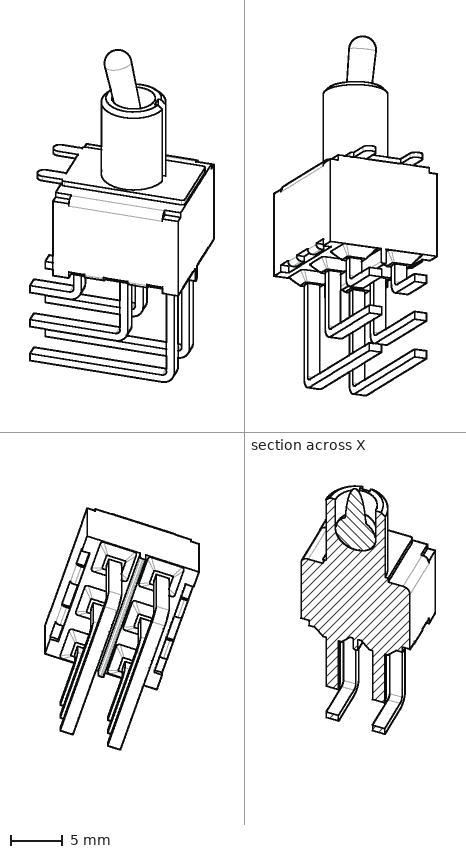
import cadquery as cq
import math


block_length = 12.7
block_width = 11.43
block_height = 8.85
edge_length = 9.5
edge_depth = 0.82
edge_radius = 0.75
notch_height = 0.5
recess_height = 0.7

tab_width = 1.92
tab_offset = 2.2
tab_bottom = 0.17
tab_radius = 0.45

plate_length = 12.45
plate_width = 6.85
plate_thickness = 0.5
plate_corner_radius = 0.27
arm_width = 1.3
arm_tip = 8.93
arm_offset = plate_width / 2 - plate_corner_radius - arm_width / 2

bushing_diameter = 6.25
bushing_height = 8.48
bushing_chamfer = 0.45
bore_diameter = 4.2
keyway_width = 1.03
keyway_floor = 2.35

terminal_pitch_x = 4.7
terminal_pitch_y = 4.85
terminal_thickness = 0.8
terminal_width = 1.3
terminal_end = 9.55
terminal_drop = 3.8
lowest_leg = -11.57
bend_inner_radius = 0.45

collar_length = 3.15
collar_width = 3.67
collar_height = 0.93
collar_spread = 0.85
collar_base_radius = 0.27
collar_tip_radius = 0.1

rib_thickness = 0.55
rib_depth = 1.48
rib_radius = 0.2

lever_tilt = 12.0
lever_taper = 1.5
tip_diameter = 2.65
overall_height = 34.33

plate_top = block_height + plate_thickness
bushing_top = plate_top + bushing_height
ball_radius = bore_diameter / 2
tip_radius = tip_diameter / 2
tip_center_height = lowest_leg + overall_height - tip_radius
tip_offset = 1.58
lever_length = tip_offset / math.sin(math.radians(lever_tilt))
pivot_height = tip_center_height - lever_length * math.cos(math.radians(lever_tilt))

UPRIGHT = (True, True, False)


def make_block():
    """Block with rounded top edges, notched corners and a bottom recess on each long side."""
    middle = cq.Workplane().box(edge_length, block_width, block_height, centered=UPRIGHT)
    middle = middle.edges("|X and >Z").fillet(edge_radius)
    block = middle.union(make_block_end(-1)).union(make_block_end(1))
    for side in (-1, 1):
        edge_y = side * (block_width - edge_depth) / 2
        recess = cq.Workplane().box(edge_length, edge_depth, recess_height, centered=UPRIGHT)
        block = block.cut(recess.translate((0, edge_y, 0)))
        for end in (-1, 1):
            block = block.union(make_tab(side).translate((end * tab_offset, edge_y, tab_bottom)))
    return block


def make_block_end(end):
    """End slice of the block on the given X side, with both upper corners stepped down."""
    end_length = (block_length - edge_length) / 2
    lower = cq.Workplane().box(end_length, block_width, block_height - notch_height, centered=UPRIGHT)
    upper = cq.Workplane().box(end_length, block_width - 2 * edge_depth, block_height, centered=UPRIGHT)
    return lower.union(upper).translate((end * (block_length - end_length) / 2, 0, 0))


def make_tab(side):
    """Tab hanging in a recess, its outer lower edge rounded on the given Y side."""
    outer_face = ">Y" if side > 0 else "<Y"
    tab = cq.Workplane().box(tab_width, edge_depth, recess_height - tab_bottom, centered=UPRIGHT)
    return tab.faces(outer_face).edges("<Z").fillet(tab_radius)


def make_plate():
    """Cover plate with two round-ended arms reaching out toward -X."""
    plate = cq.Workplane().box(plate_length, plate_width, plate_thickness, centered=UPRIGHT)
    plate = plate.edges("|Z").fillet(plate_corner_radius)
    round_center = arm_tip - arm_width / 2
    for side in (-1, 1):
        arm = cq.Workplane().box(round_center, arm_width, plate_thickness, centered=UPRIGHT)
        arm = arm.translate((-round_center / 2, 0, 0))
        arm_end = cq.Workplane().circle(arm_width / 2).extrude(plate_thickness)
        arm = arm.union(arm_end.translate((-round_center, 0, 0)))
        plate = plate.union(arm.translate((0, side * arm_offset, 0)))
    return plate.translate((0, 0, block_height))


def make_bushing():
    """Solid bushing with a chamfered rim and a keyway on its +X side."""
    bushing = cq.Workplane().circle(bushing_diameter / 2).extrude(bushing_height)
    bushing = bushing.faces(">Z").chamfer(bushing_chamfer)
    keyway = cq.Workplane().box(
        bushing_diameter, keyway_width, bushing_height, centered=(False, True, False)
    )
    bushing = bushing.cut(keyway.translate((keyway_floor, 0, 0)))
    return bushing.translate((0, 0, plate_top))


def make_lever_seat():
    """Cutter for the bore, ending in a hemispherical seat for the lever ball."""
    bore = cq.Workplane().circle(ball_radius).extrude(bushing_top - pivot_height)
    return bore.union(cq.Workplane().sphere(ball_radius)).translate((0, 0, pivot_height))


def make_terminal(column):
    """Right-angle terminal; column -1, 0 or 1 counts from the shortest to the longest."""
    back = column * terminal_pitch_x + terminal_thickness / 2
    front = back - terminal_thickness
    bottom = lowest_leg + (1 - column) * terminal_drop
    leg_top = bottom + terminal_thickness
    terminal = (
        cq.Workplane("XZ")
        .moveTo(front, 0)
        .lineTo(back, 0)
        .lineTo(back, bottom)
        .lineTo(-terminal_end, bottom)
        .lineTo(-terminal_end, leg_top)
        .lineTo(front, leg_top)
        .close()
        .extrude(terminal_width / 2, both=True)
    )
    inner_bend = cq.selectors.NearestToPointSelector((front, 0, leg_top))
    outer_bend = cq.selectors.NearestToPointSelector((back, 0, bottom))
    terminal = terminal.edges(inner_bend).fillet(bend_inner_radius)
    return terminal.edges(outer_bend).fillet(bend_inner_radius + terminal_thickness)


def make_collar():
    """Tapered collar with rounded corners, wide at the block and narrow at its lower end."""
    base = cq.Sketch().rect(collar_length, collar_width).vertices().fillet(collar_base_radius)
    tip_length = collar_length - 2 * collar_spread
    tip_width = collar_width - 2 * collar_spread
    tip = cq.Sketch().rect(tip_length, tip_width).vertices().fillet(collar_tip_radius)
    return cq.Workplane().placeSketch(base, tip.moved(cq.Location((0, 0, -collar_height)))).loft()


def make_rib():
    """Thin rib along the middle of the underside, with rounded lower edges."""
    rib = cq.Workplane().box(block_length, rib_thickness, rib_depth, centered=UPRIGHT)
    return rib.edges("|X and <Z").fillet(rib_radius).translate((0, 0, -rib_depth))


def make_housing():
    """Switch housing with its plate, bushing, rib and six terminals as one solid."""
    housing = make_block().union(make_plate()).union(make_bushing()).union(make_rib())
    housing = housing.cut(make_lever_seat())
    for column in (-1, 0, 1):
        for side in (-1, 1):
            row_y = side * terminal_pitch_y / 2
            collar = make_collar().translate((column * terminal_pitch_x, row_y, 0))
            housing = housing.union(collar)
            housing = housing.union(make_terminal(column).translate((0, row_y, 0)))
    return housing


def make_lever():
    """Tilted toggle lever: pivot ball, tapered stem and round tip, revolved in one piece."""
    stem_radius = tip_radius - lever_length * math.tan(math.radians(lever_taper))
    ball = cq.Workplane().sphere(ball_radius)
    stem = (
        cq.Workplane("XZ")
        .lineTo(stem_radius, 0)
        .lineTo(tip_radius, lever_length)
        .radiusArc((0, lever_length + tip_radius), -tip_radius)
        .close()
        .revolve(360, (0, 0, 0), (0, 1, 0))
    )
    lever = ball.union(stem).rotate((0, 0, 0), (0, 1, 0), -lever_tilt)
    return lever.translate((0, 0, pivot_height))


housing = make_housing()
lever = make_lever()

result = cq.Compound.makeCompound([housing.solids().val(), lever.solids().val()])